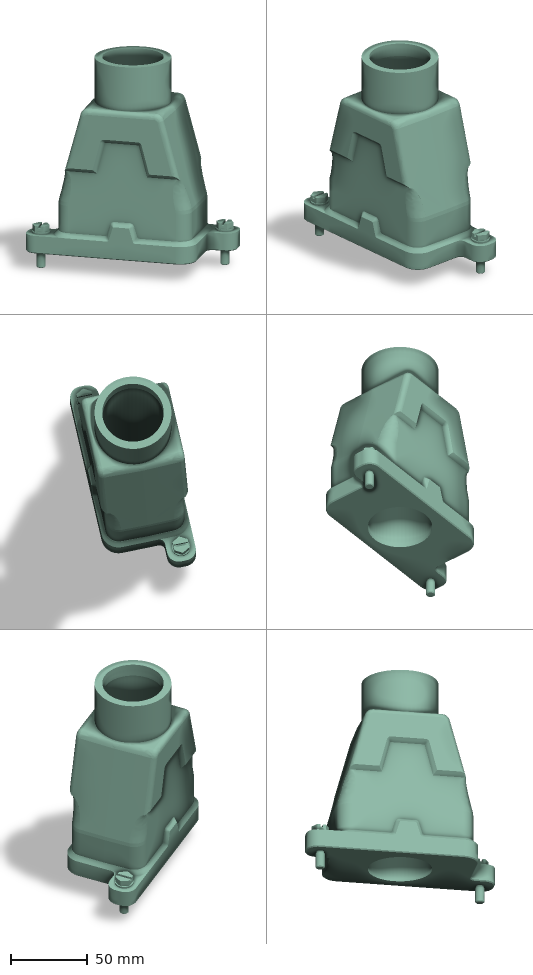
import cadquery as cq
import math

total_height = 141.4
screw_reach = 11.5
flange_height = 12.0
bend_height = 34.5
hood_top = 100.3
neck_top = total_height - screw_reach

flange_length = 96.5
flange_width = 58.0
flange_corner_radius = 11.3
flange_bottom_chamfer = 0.7
overall_length = 132.0
ear_width = 19.0
ear_corner_radius = 7.6
ear_inner_radius = 3.7

wall_setback = 2.8
body_length = flange_length - 2 * wall_setback
body_width = flange_width - 2 * wall_setback
body_corner_radius = flange_corner_radius - wall_setback
hood_top_length = 55.4
ridge_rise_low = 0.4
ridge_rise_top = 0.8
bend_blend = 1.3
bend_start = bend_height - bend_blend
bend_end = bend_height + bend_blend
fade_steps = 6
smallest_corner_radius = 0.3
corner_clearance = 1.4
end_edge_radius = 5.5
side_edge_radius = 3.4

panel_edge_height = 56.8
notch_top_height = 78.0
notch_top_width = 22.6
notch_bottom_width = 34.0

tongue_top_height = 24.9
tongue_top_width = 15.0
tongue_bottom_height = 8.5
tongue_bottom_width = 25.2
tongue_top_radius = 3.1
tongue_foot_radius = 2.1

neck_diameter = 50.0
mouth_diameter = 40.0
mouth_depth = 8.9
bore_diameter = 42.0

screw_x = 56.5
screw_y = 19.7
washer_diameter = 12.0
washer_height = 1.3
hexagon_across_corners = 11.6
head_height = 5.4
slot_width = 1.8
slot_depth = 1.7
screw_neck_diameter = 5.2
screw_neck_length = 1.4
pin_diameter = 6.0
pin_chamfer = 0.5


def both_sides(feature):
    """Join a feature with its copy turned half a turn about Z."""
    return feature.union(feature.rotate((0, 0, 0), (0, 0, 1), 180))


def ridged_outline(peak, rise, width):
    """Points of a block whose two ends reach out to `peak`, standing `rise` beyond its corners."""
    corner = peak - rise
    side = width / 2
    return [(peak, 0), (corner, side), (-corner, side), (-peak, 0), (-corner, -side), (corner, -side)]


def make_flange():
    plate = cq.Workplane("XY").rect(flange_length, flange_width).extrude(flange_height)
    plate = plate.edges("|Z").fillet(flange_corner_radius)
    ear_length = overall_length / 2
    ear_center_y = (ear_width - flange_width) / 2
    ear = (
        cq.Workplane("XY")
        .center(-ear_length / 2, ear_center_y)
        .rect(ear_length, ear_width)
        .extrude(flange_height)
        .edges("|Z and <X")
        .fillet(ear_corner_radius)
    )
    flange = plate.union(both_sides(ear)).clean()
    inner_corner = (-flange_length / 2, ear_width - flange_width / 2, flange_height / 2)
    opposite_corner = (-inner_corner[0], -inner_corner[1], inner_corner[2])
    for corner in (inner_corner, opposite_corner):
        flange = flange.edges(cq.selectors.NearestToPointSelector(corner)).fillet(ear_inner_radius)
    return flange.faces("<Z").chamfer(flange_bottom_chamfer)


def make_skirt():
    """Sloping step from the flange outline in to the hood walls."""
    base = cq.Sketch().rect(flange_length, flange_width).vertices().fillet(flange_corner_radius)
    return cq.Workplane("XY", origin=(0, 0, flange_height)).placeSketch(base).extrude(wall_setback, taper=45)


def hood_end(height):
    """Half length of the hood at its middle ridge, and how far the ridge stands out."""
    slope_share = max(0, (height - bend_height) / (hood_top - bend_height))
    length = body_length + slope_share * (hood_top_length - body_length)
    rise = ridge_rise_low + slope_share * (ridge_rise_top - ridge_rise_low)
    return length / 2, rise


def loft_hood(bottom, top, width):
    """Hood with straight flanks and sharp edges between two heights."""
    return (
        cq.Workplane("XY", origin=(0, 0, bottom))
        .polyline(ridged_outline(*hood_end(bottom), width))
        .close()
        .workplane(offset=top - bottom)
        .polyline(ridged_outline(*hood_end(top), width))
        .close()
        .loft(ruled=True)
    )


def make_upper_envelope():
    """Full-width tapering hood above the bend, with its upper edges rounded."""
    hood = loft_hood(bend_end, hood_top, flange_width)
    hood = hood.faces(">Z").edges("not |X").fillet(end_edge_radius)
    return hood.faces("<Y or >Y").edges("not <Z").fillet(side_edge_radius)


def corner_waste_outline(height, radius):
    """Closed wire around the material outside one rounded wall corner."""
    ridge_x, rise = hood_end(height)
    corner_x = ridge_x - rise
    corner_y = body_width / 2
    end_x = corner_x + rise * radius / corner_y
    bulge = radius * (1 - math.sqrt(0.5))
    outer_x = ridge_x + corner_clearance
    outer_y = corner_y + corner_clearance
    outline = (
        cq.Workplane("XY", origin=(0, 0, height))
        .moveTo(end_x, corner_y - radius)
        .threePointArc((corner_x - bulge, corner_y - bulge), (corner_x - radius, corner_y))
        .lineTo(corner_x - radius, outer_y)
        .lineTo(outer_x, outer_y)
        .lineTo(outer_x, corner_y - radius)
        .close()
    )
    return outline.val()


def round_wall_corners(walls):
    """Round the four wall corners; above the bend the radius fades out to nothing."""
    foot = corner_waste_outline(0, body_corner_radius)
    below_bend = corner_waste_outline(bend_start, body_corner_radius)
    fading = []
    for step in range(fade_steps + 1):
        angle = math.pi / 2 * step / fade_steps
        height = bend_end + (panel_edge_height - bend_end) * math.sin(angle)
        radius = max(body_corner_radius * math.cos(angle), smallest_corner_radius)
        fading.append(corner_waste_outline(height, radius))
    pieces = [
        cq.Solid.makeLoft([foot, below_bend], True),
        cq.Solid.makeLoft([below_bend, fading[0]], True),
        cq.Solid.makeLoft(fading),
    ]
    for piece in pieces:
        waste = cq.Workplane(piece)
        waste = waste.union(waste.mirror("XZ"))
        walls = walls.cut(waste).cut(waste.mirror("YZ"))
    return walls


def make_raised_area(outline):
    """Tapered pads of the given XZ outline on the front and back walls."""
    wall_y = -body_width / 2
    pad = (
        cq.Workplane("XZ", origin=(0, wall_y, 0))
        .placeSketch(outline)
        .extrude(wall_setback, taper=45)
    )
    return both_sides(pad)


def make_hood():
    reach = flange_length
    panel = [
        (-reach, panel_edge_height),
        (-notch_bottom_width / 2, panel_edge_height),
        (-notch_top_width / 2, notch_top_height),
        (notch_top_width / 2, notch_top_height),
        (notch_bottom_width / 2, panel_edge_height),
        (reach, panel_edge_height),
        (reach, neck_top),
        (-reach, neck_top),
        (-reach, panel_edge_height),
    ]
    core = (
        cq.Workplane("XY", origin=(0, 0, bend_end))
        .rect(body_length, body_width)
        .extrude(hood_top - bend_end)
    )
    envelope = make_upper_envelope()
    walls = loft_hood(0, bend_start, body_width)
    walls = walls.union(loft_hood(bend_start, bend_end, body_width))
    walls = walls.union(envelope.intersect(core))
    return round_wall_corners(walls).union(envelope.intersect(make_raised_area(cq.Sketch().polygon(panel))))


def make_tongues():
    tongue = [
        (-tongue_bottom_width / 2, tongue_bottom_height),
        (tongue_bottom_width / 2, tongue_bottom_height),
        (tongue_top_width / 2, tongue_top_height),
        (-tongue_top_width / 2, tongue_top_height),
        (-tongue_bottom_width / 2, tongue_bottom_height),
    ]
    return make_raised_area(cq.Sketch().polygon(tongue).vertices(">Y").fillet(tongue_top_radius))


def make_base():
    """Flange, skirt and tongues, with the foot of each tongue blended into the skirt."""
    base = make_flange().union(make_skirt()).union(make_tongues())
    reach = tongue_bottom_width / 2
    margin = wall_setback / 10
    for side in (-1, 1):
        foot_region = cq.selectors.BoxSelector(
            (-reach, side * body_width / 2, flange_height + margin),
            (reach, side * flange_width / 2, flange_height + wall_setback - margin),
        )
        base = base.edges(foot_region).edges("not |X").fillet(tongue_foot_radius)
    return base


def make_neck():
    neck_base = hood_top - side_edge_radius
    return cq.Workplane("XY", origin=(0, 0, neck_base)).circle(neck_diameter / 2).extrude(neck_top - neck_base)


def make_bore():
    mouth_floor = neck_top - mouth_depth
    bore = cq.Workplane("XY").circle(bore_diameter / 2).extrude(mouth_floor)
    mouth = cq.Workplane("XY", origin=(0, 0, mouth_floor)).circle(mouth_diameter / 2).extrude(mouth_depth)
    return bore.union(mouth)


def make_screw():
    washer = cq.Workplane("XY").circle(washer_diameter / 2).extrude(washer_height)
    hexagon = cq.Workplane("XY").polygon(6, hexagon_across_corners).extrude(head_height)
    slot = (
        cq.Workplane("XY", origin=(0, 0, head_height - slot_depth))
        .rect(slot_width, washer_diameter)
        .extrude(slot_depth)
    )
    head = washer.union(hexagon).cut(slot)
    neck_end = flange_height + screw_neck_length
    neck = cq.Workplane("XY").circle(screw_neck_diameter / 2).extrude(-neck_end)
    pin = (
        cq.Workplane("XY", origin=(0, 0, -neck_end))
        .circle(pin_diameter / 2)
        .extrude(screw_neck_length - screw_reach)
        .faces("<Z")
        .chamfer(pin_chamfer)
    )
    return head.union(neck).union(pin).translate((-screw_x, -screw_y, flange_height))


housing = make_base().union(make_hood()).union(make_neck())
result = housing.cut(make_bore()).union(both_sides(make_screw()))